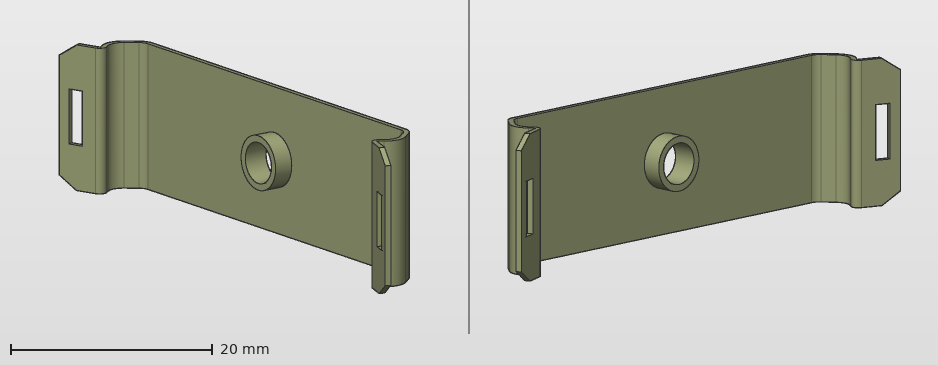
import cadquery as cq
import math

length = 53.35
depth = 7.15
height = 15.0
thickness = 0.6
half_thickness = thickness / 2

plate_corner_x = 21.25
bulge_corner_x = 23.6
bulge_corner_y = -3.15
neck_corner_x = 22.0
tail_angle = 20.0

plate_bend_radius = 1.2
bulge_bend_radius = 1.6
neck_outside_radius = 0.75

corner_cut_length = 2.05
corner_cut_height = 1.35
slot_width = 1.55
slot_height = 5.65
slot_from_tip = 1.9

boss_diameter = 5.6
hole_diameter = 4.2
boss_reach = 2.6

tail_cos = math.cos(math.radians(tail_angle))
tail_sin = math.sin(math.radians(tail_angle))
tip_x = length / 2 - half_thickness * tail_sin
tip_y = half_thickness * tail_cos - depth
neck_corner_y = tip_y + (tip_x - neck_corner_x) * math.tan(math.radians(tail_angle))

centreline = [
    (0, -half_thickness),
    (plate_corner_x, -half_thickness),
    (bulge_corner_x, bulge_corner_y),
    (neck_corner_x, neck_corner_y),
    (tip_x, tip_y),
]


def left_normal(start, end):
    """Unit normal on the left of the segment from start to end."""
    dx = end[0] - start[0]
    dy = end[1] - start[1]
    size = math.hypot(dx, dy)
    return -dy / size, dx / size


def offset_points(points, distance):
    """Shift an open polyline sideways, with mitred corners; positive is to the left."""
    normals = [left_normal(a, b) for a, b in zip(points, points[1:])]
    before = normals[:1] + normals
    after = normals + normals[-1:]
    shifted = []
    for (x, y), n, m in zip(points, before, after):
        scale = distance / (1 + n[0] * m[0] + n[1] * m[1])
        shifted.append((x + (n[0] + m[0]) * scale, y + (n[1] + m[1]) * scale))
    return shifted


def round_corner(body, point, radius):
    """Fillet the edge parallel to Z that passes through the given XY point."""
    edge = cq.selectors.NearestToPointSelector((point[0], point[1], 0))
    return body.edges("|Z").edges(edge).fillet(radius)


def half_strip():
    """Right half of the bent strip with its bends rounded."""
    back = offset_points(centreline, half_thickness)
    front = offset_points(centreline, -half_thickness)
    outline = back + front[::-1]
    body = cq.Workplane("XY").polyline(outline).close().extrude(height / 2, both=True)
    bends = [
        (front[1], back[1], plate_bend_radius),
        (front[2], back[2], bulge_bend_radius),
    ]
    for inside, outside, radius in bends:
        body = round_corner(body, inside, radius)
        body = round_corner(body, outside, radius + thickness)
    return round_corner(body, front[3], neck_outside_radius)


def tail_cutters():
    """Slot and two corner wedges, cutting square through the tail."""
    plane = cq.Plane(
        origin=(tip_x, tip_y, 0),
        xDir=(-tail_cos, tail_sin, 0),
        normal=(tail_sin, tail_cos, 0),
    )
    cutters = cq.Workplane(plane).center(slot_from_tip, 0).rect(slot_width, slot_height)
    cutters = cutters.extrude(thickness, both=True)
    for side in (-1, 1):
        edge = side * height / 2
        corners = [(0, edge), (corner_cut_length, edge), (0, edge - side * corner_cut_height)]
        wedge = cq.Workplane(plane).polyline(corners).close().extrude(thickness, both=True)
        cutters = cutters.add(wedge)
    return cutters.combine()


right_half = half_strip().cut(tail_cutters())
strip = right_half.union(right_half.mirror("YZ"))

boss = cq.Workplane("XZ").circle(boss_diameter / 2).extrude(boss_reach)
hole = cq.Workplane("XZ").circle(hole_diameter / 2).extrude(boss_reach)
result = strip.union(boss).cut(hole)